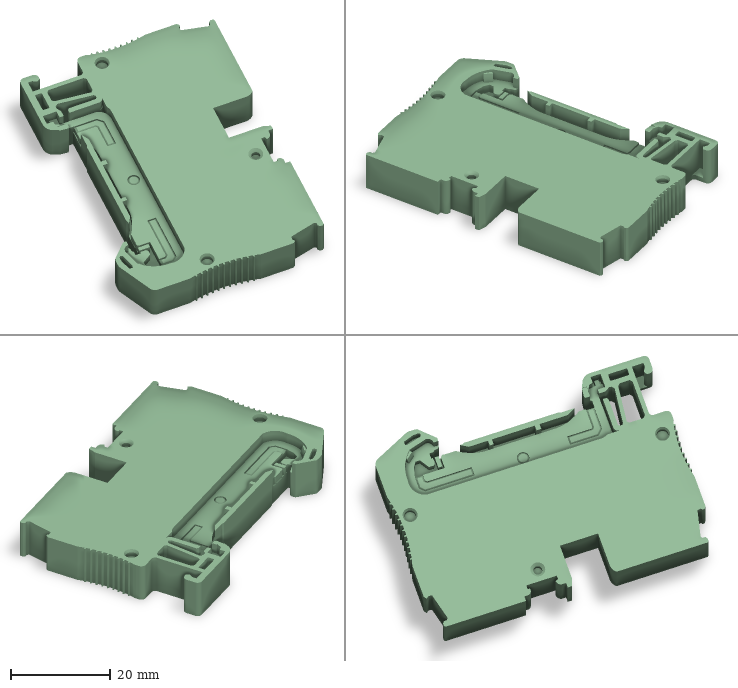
import cadquery as cq
import math

length = 60.0
height = 42.2
thickness = 8.2

rail_floor = 5.8
deep_floor = 4.0
foot_cavity_floor = 1.1
lip_top = 8.05

body_bottom = 12.65
rail_bottom = 6.1
wall_bottom = 5.95
slab_edge = 6.2
slab_end = 6.3
below_rail = 5.4

tooth_pitch = 1.25
tooth_reach = 0.5
tooth_root = 0.6
tooth_tip = 0.25
tooth_overlap = 0.35
left_grip_top = (0, 27.85)
left_grip_middle = (0.85, 21.2)
left_grip_bottom = (0, 14.5)
right_grip_top = (length, 27.6)
right_grip_middle = (59.0, 19.8)
right_grip_bottom = (length, 12)
left_first_tooth = 26.15
left_tooth_count = 10
right_first_tooth = 26.1
right_tooth_count = 11

stem_left = 4.25
stem_right = 5.15
arm_left = 11.0
arm_right = 12.05
strip_left = 12.35
strip_right = 13.9
foot_left = 0.4
foot_top = 3.95
foot_radius = 0.95
stem_radius = 0.8
body_radius = 1.0

wall_top_edge = 7.1
shelf_edge = 8.15
wall_rib_spans = [(25.85, 26.9), (36.0, 36.85)]

hole_depth = 1.5
hole_bevel_depth = 0.6
screw_holes = [((36.4, 36.55), 1.5, 0.9), ((3.1, 17.1), 1.5, 1.2), ((56.9, 17.1), 1.5, 1.2)]

ridge_depth = 0.4
ridge_inset = 0.35
rail_mark_center = (31.1, 12.05)
rail_mark_radius = 1.25

wedge_start = (51.75, 4.55, rail_floor)
wedge_run = (1.45, 1.2)
wedge_slope = 0.5
wedge_height = 1.8
wedge_depth = 1.2


def block(points, bottom, top):
    """A prism over a closed outline of straight sides."""
    return cq.Workplane("XY").workplane(offset=bottom).polyline(points).close().extrude(top - bottom)


def box(x_min, x_max, y_min, y_max, bottom, top):
    """A rectangular block between the given limits."""
    corners = [(x_min, y_min), (x_max, y_min), (x_max, y_max), (x_min, y_max)]
    return block(corners, bottom, top)


def body_outline():
    """Outside contour, clockwise from the upper left lip."""
    return (
        cq.Workplane("XY")
        .moveTo(2.1, height)
        .lineTo(21.55, height)
        .threePointArc((22.15, 41.4), (22.4, 40.45))
        .lineTo(22.4, 33.2)
        .lineTo(30.5, 33.2)
        .lineTo(30.5, 40.5)
        .lineTo(31.05, height)
        .lineTo(31.95, height)
        .lineTo(31.95, 41.2)
        .lineTo(32.85, 41.2)
        .threePointArc((33.5, 40.8), (33.8, 40.1))
        .lineTo(33.2, 39.85)
        .lineTo(33.2, 39.1)
        .lineTo(39.7, 39.1)
        .lineTo(39.7, 39.9)
        .lineTo(39.25, 39.9)
        .threePointArc((39.4, 40.8), (40.0, 41.2))
        .lineTo(40.8, 41.2)
        .lineTo(40.8, height)
        .lineTo(58.0, height)
        .lineTo(58.2, 41.9)
        .lineTo(58.2, 41.35)
        .lineTo(57.85, 40.95)
        .lineTo(57.25, 40.95)
        .lineTo(56.95, 40.5)
        .lineTo(58.35, 34.95)
        .lineTo(59.0, 34.8)
        .lineTo(59.6, 35.25)
        .lineTo(length, 34.7)
        .lineTo(*right_grip_top)
        .threePointArc(right_grip_middle, right_grip_bottom)
        .lineTo(length, 4.9)
        .threePointArc((59.7, 4.1), (59.05, 3.55))
        .lineTo(51.75, 0.05)
        .lineTo(51.4, 0)
        .lineTo(49.9, 0)
        .lineTo(49.5, 0.1)
        .lineTo(46.35, 3.2)
        .lineTo(46.35, 4.25)
        .lineTo(46.7, 4.55)
        .lineTo(47.4, 4.7)
        .lineTo(47.8, 5.0)
        .lineTo(48.6, 5.0)
        .lineTo(48.6, rail_bottom)
        .lineTo(41.95, rail_bottom)
        .lineTo(41.55, wall_bottom)
        .lineTo(21.4, wall_bottom)
        .lineTo(20.95, rail_bottom)
        .lineTo(strip_right, rail_bottom)
        .lineTo(strip_right, 5.0)
        .lineTo(14.3, 4.7)
        .lineTo(15.25, 4.7)
        .lineTo(15.5, 4.4)
        .lineTo(15.3, 2.7)
        .lineTo(14.7, 1.15)
        .threePointArc((13.9, 0.35), (12.85, 0))
        .lineTo(foot_left + foot_radius, 0)
        .radiusArc((foot_left, foot_radius), foot_radius)
        .lineTo(foot_left, foot_top - foot_radius)
        .radiusArc((foot_left + foot_radius, foot_top), foot_radius)
        .lineTo(stem_left - stem_radius, foot_top)
        .radiusArc((stem_left, foot_top + stem_radius), -stem_radius)
        .lineTo(stem_left, body_bottom - stem_radius)
        .radiusArc((stem_left - stem_radius, body_bottom), -stem_radius)
        .lineTo(body_radius, body_bottom)
        .radiusArc((0, body_bottom + body_radius), body_radius)
        .lineTo(*left_grip_bottom)
        .threePointArc(left_grip_middle, left_grip_top)
        .lineTo(0, 34.7)
        .lineTo(0.35, 35.2)
        .lineTo(0.8, 35.2)
        .lineTo(1.0, 34.9)
        .lineTo(1.8, 34.95)
        .lineTo(3.05, 40.5)
        .lineTo(2.75, 40.95)
        .lineTo(2.15, 40.95)
        .lineTo(1.85, 41.35)
        .lineTo(1.85, 41.95)
        .close()
    )


def circle_through(a, b, c):
    """Centre, radius and inward direction of the circle through a, b, c; a and c share one X."""
    half_chord = (a[1] - c[1]) / 2
    middle_y = (a[1] + c[1]) / 2
    sag = abs(b[0] - a[0])
    radius = (half_chord**2 + sag**2) / (2 * sag)
    inward = math.copysign(1, b[0] - a[0])
    return (b[0] - inward * radius, middle_y), radius, inward


def grip_teeth(grip_top, grip_middle, grip_bottom, first_tooth, count):
    """Small tapered teeth standing out of the hollow of one grip."""
    center, radius, inward = circle_through(grip_top, grip_middle, grip_bottom)
    teeth = cq.Workplane("XY")
    for index in range(count):
        y = first_tooth - index * tooth_pitch
        surface = center[0] + inward * math.sqrt(radius**2 - (y - center[1]) ** 2)
        side = 0 if inward > 0 else length
        tip = surface - inward * tooth_reach
        tip = max(tip, side) if inward > 0 else min(tip, side)
        root = surface + inward * tooth_overlap
        points = [
            (root, y - tooth_root / 2),
            (tip, y - tooth_tip / 2),
            (tip, y + tooth_tip / 2),
            (root, y + tooth_root / 2),
        ]
        teeth = teeth.union(block(points, 0, thickness))
    return teeth


def leg_windows():
    """Openings between the stem, the slanted leg and the arm, and the one in the foot."""
    left = [
        (stem_right, 4.5), (5.65, 4.0), (7.8, 4.0), (8.2, 4.5),
        (9.05, 12.25), (8.65, body_bottom), (5.65, body_bottom), (stem_right, 12.2),
    ]
    right = [
        (9.05, 4.75), (9.6, 4.15), (10.1, 4.15), (11.0, 4.75), (strip_left, 4.75), (strip_left, rail_bottom),
        (11.35, rail_bottom), (arm_left, 6.5), (arm_left, 12.3), (10.7, body_bottom),
        (10.15, body_bottom), (9.9, 12.3),
    ]
    foot = box(5.3, 9.35, 1.45, 2.95, 0, thickness).edges("|Z").fillet(0.25)
    return block(left, 0, thickness).union(block(right, 0, thickness)).union(foot)


def foot_cavity():
    """Hollow behind the left lip of the foot, closed by a thin back wall."""
    points = [(1.8, 1.45), (stem_left, 1.45), (stem_left, 4.8), (3.0, 4.8), (1.9, foot_top),
              (2.35, 3.25), (1.8, 2.35)]
    return block(points, foot_cavity_floor, thickness)


def rail_recess():
    """Recess that takes the mounting rail, open towards the bottom and into both feet."""
    return (
        cq.Workplane("XY")
        .workplane(offset=rail_floor)
        .moveTo(11.0, 13.6)
        .lineTo(13.7, 13.6)
        .threePointArc((14.35, 13.9), (15.1, 14.05))
        .lineTo(52.4, 14.05)
        .threePointArc((54.2, 12.85), (54.9, 9.85))
        .threePointArc((54.15, 6.1), (52.4, 3.8))
        .lineTo(48.6, 2.7)
        .threePointArc((47.65, 3.1), (47.35, 3.9))
        .lineTo(45.6, 3.9)
        .lineTo(45.6, below_rail)
        .lineTo(14.3, below_rail)
        .lineTo(14.3, 3.55)
        .lineTo(13.7, 2.35)
        .lineTo(12.85, 2.15)
        .lineTo(12.85, 0.85)
        .lineTo(10.75, 0.85)
        .lineTo(10.75, 3.85)
        .lineTo(strip_left, 3.85)
        .lineTo(strip_left, below_rail)
        .lineTo(arm_right, below_rail)
        .lineTo(arm_right, 12.8)
        .threePointArc((11.75, 13.3), (11.0, 13.6))
        .close()
        .extrude(thickness - rail_floor)
    )


def retaining_wall():
    """Thin wall along the open side of the recess, with two short ribs behind it."""
    points = [(18.05, below_rail), (18.05, rail_bottom), (19.8, wall_top_edge), (40.95, wall_top_edge),
              (42.5, rail_bottom), (42.5, below_rail)]
    wall = block(points, deep_floor, thickness)
    for left, right in wall_rib_spans:
        wall = wall.union(box(left, right, wall_bottom, shelf_edge, deep_floor, thickness))
    return wall


def shelf_gap():
    """Deeper gap between the recess floor and the retaining wall."""
    return (
        cq.Workplane("XY")
        .workplane(offset=deep_floor)
        .moveTo(17.1, rail_bottom)
        .threePointArc((19.6, 7.55), (22.5, shelf_edge))
        .lineTo(38.3, shelf_edge)
        .threePointArc((41.1, 7.45), (43.6, rail_bottom))
        .lineTo(43.6, below_rail)
        .lineTo(17.1, below_rail)
        .close()
        .extrude(thickness - deep_floor)
    )


def slab_setback():
    """Narrow step along the open side of the recess, back from the face below it."""
    points = [(strip_right, below_rail), (46.0, below_rail), (46.0, slab_edge), (16.15, slab_edge),
              (15.7, slab_end), (strip_right, slab_end)]
    return block(points, deep_floor, thickness)


def strip_slots():
    """Deep slots that set the spring strip free of the arm and of the left foot."""
    beside_arm = (
        cq.Workplane("XY")
        .workplane(offset=deep_floor)
        .moveTo(arm_right, below_rail)
        .lineTo(strip_left, below_rail)
        .lineTo(strip_left, 11.9)
        .threePointArc((12.9, 12.95), (13.7, 13.6))
        .lineTo(11.4, 13.6)
        .threePointArc((11.95, 13.3), (arm_right, 12.8))
        .close()
        .extrude(rail_floor - deep_floor)
    )
    in_foot = box(10.75, 12.85, 0.85, 2.15, deep_floor, rail_floor)
    strip_tip = box(11.3, 12.2, 1.0, 2.15, deep_floor, rail_floor)
    return beside_arm.union(in_foot.cut(strip_tip))


def latch_pocket():
    """Deep pocket beside the right spring hook."""
    points = [(46.7, 8.95), (53.05, 8.95), (52.6, 6.9), (51.85, 5.75), (50.9, 5.75), (49.65, 7.75),
              (48.55, 7.75), (48.25, 7.3), (48.25, below_rail), (46.35, below_rail),
              (46.35, 6.1), (46.7, 6.5)]
    post = box(47.05, 47.9, rail_bottom, 8.45, deep_floor, rail_floor)
    return block(points, deep_floor, rail_floor).cut(post)


def rail_ridges():
    """Outlines of the two angled ridges in the recess floor."""
    left = [(14.0, slab_end), (15.7, slab_end), (15.7, 10.3), (15.95, 10.55), (21.2, 10.55),
            (21.2, 12.4), (15.1, 12.4), (14.0, 11.3)]
    right = [(41.55, 10.55), (51.0, 10.55), (51.4, 10.2), (51.4, 8.95), (53.05, 8.95), (53.05, 11.4),
             (52.1, 12.4), (41.55, 12.4)]
    return [cq.Workplane("XY").polyline(points).close() for points in (left, right)]


def rail_mark():
    """Outline of the round mark in the middle of the recess floor."""
    return cq.Workplane("XY").moveTo(*rail_mark_center).circle(rail_mark_radius)


def sunk_ridge_gap(outline):
    """Upright-walled pocket in the recess floor less the tapered ridge that stands in it."""
    taper = math.degrees(math.atan(ridge_inset / ridge_depth))
    pocket = outline.extrude(ridge_depth)
    ridge = outline.toPending().extrude(ridge_depth, taper=taper)
    return pocket.cut(ridge).translate((0, 0, rail_floor - ridge_depth))


def screw_hole(center, mouth_radius, bore_radius):
    """Blind hole with a wide bevel at its mouth."""
    bevel_base = cq.Vector(*center, thickness - hole_bevel_depth)
    bevel = cq.Solid.makeCone(bore_radius, mouth_radius, hole_bevel_depth, bevel_base)
    bore = cq.Solid.makeCylinder(bore_radius, hole_depth, cq.Vector(*center, thickness - hole_depth))
    return cq.Workplane(bevel).union(cq.Workplane(bore))


def corner_wedge():
    """Sloping wedge between the recess floor and its wall behind the right hook."""
    plane = cq.Plane(wedge_start, xDir=(wedge_run[1], -wedge_run[0], 0), normal=(*wedge_run, 0))
    profile = [(0, 0), (wedge_slope, -wedge_height), (wedge_depth, -wedge_height), (wedge_depth, 0)]
    return cq.Workplane(plane).polyline(profile).close().extrude(math.hypot(*wedge_run))


def foot_lip_step():
    """Shallow step that lowers the upright lip at the right end of the left foot."""
    return box(14.3, 15.6, 2.5, 4.8, lip_top, thickness)


def hook_slot():
    """Blind slot in the right foot."""
    points = [(49.2, 1.3), (49.6, 1.0), (50.8, 1.1), (52.95, 1.8), (52.95, 2.5), (52.5, 2.65), (49.4, 1.8)]
    return block(points, rail_floor, thickness)


result = body_outline().extrude(thickness)
result = result.union(grip_teeth(left_grip_top, left_grip_middle, left_grip_bottom,
                                 left_first_tooth, left_tooth_count))
result = result.union(grip_teeth(right_grip_top, right_grip_middle, right_grip_bottom,
                                 right_first_tooth, right_tooth_count))
result = result.cut(leg_windows())
result = result.cut(foot_cavity())
result = result.cut(rail_recess().union(shelf_gap()).union(slab_setback()).cut(retaining_wall()))
result = result.cut(strip_slots())
result = result.cut(latch_pocket())
for outline in rail_ridges() + [rail_mark()]:
    result = result.cut(sunk_ridge_gap(outline))
result = result.union(corner_wedge())
result = result.cut(hook_slot())
for center, mouth_radius, bore_radius in screw_holes:
    result = result.cut(screw_hole(center, mouth_radius, bore_radius))
result = result.cut(foot_lip_step())